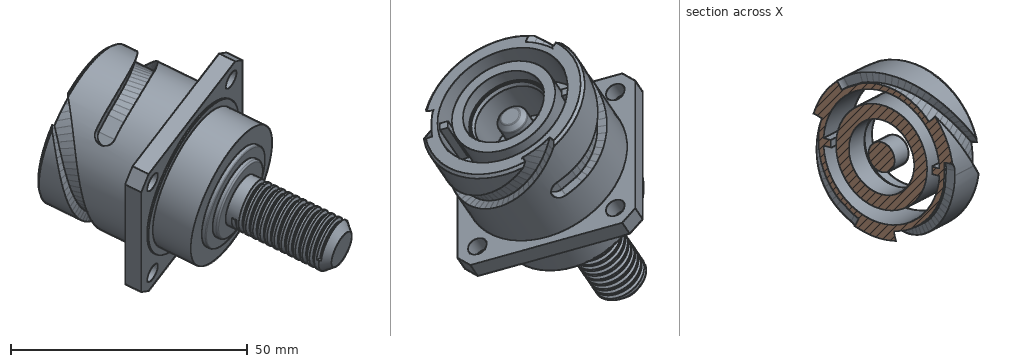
import cadquery as cq
import math


shell_radius = 18.65
shell_edge_chamfer = 0.65
shell_bore_radius = 15.0
shell_bore_depth = 12.0

flange_front = 23.1
flange_thickness = 4.0
flange_size = 41.0
flange_corner_chamfer = 3.0
mount_hole_diameter = 4.3
mount_hole_spacing = 31.8

flange_back = flange_front + flange_thickness
shoulder_radius = 18.2
shoulder_end = flange_back + 0.4
barrel_radius = 16.5
barrel_end = 36.9
large_step_radius = 12.05
large_step_end = 37.9
small_step_radius = 9.3
small_step_end = 39.1
large_step_rounding = 0.2
small_step_rounding = 0.4

overall_length = 64.2
stud_radius = 6.0
stud_tip_radius = 4.15
stud_tip_length = 2.0
thread_pitch = 1.75
thread_turns = 12
thread_start = 41.15
thread_start_angle = 12.0
thread_depth = 0.75
thread_mouth_width = 1.15
thread_root_width = 0.3
thread_overlap = 0.1
stud_seam_turn = 135.0

ring_front = 0.5
ring_radius = 11.9
ring_root = flange_front
cavity_mouth_radius = 9.35
cavity_inner_radius = 8.4
cavity_ledge = 3.85
cavity_ledge_radius = 8.85
cavity_taper_end = 4.7
cavity_corner_relief = 0.15
cavity_depth = 15.0
pin_front = 3.9
pin_radius = 3.45
pin_edge_chamfer = 1.2
pin_edge_rounding = 0.35

key_front = 1.2
key_width = 1.8
key_inner_radius = 13.1

slot_count = 3
slot_width = 4.65
slot_floor_radius = 16.45
slot_x = 11.93
slot_end_angle = -63.4
slot_bend_angle = -49.0
slot_arc_radius = 58.0
slot_exit_x = -4.0
slot_arc_sections = 26
slot_top_radius = shell_radius + 2.0


def revolve_profile(points):
    """Revolve (x, radius) points about the X axis."""
    outline = cq.Workplane("XY").polyline(points).close()
    return outline.revolve(360, (0, 0, 0), (1, 0, 0))


def disc(radius, start, end):
    return cq.Workplane("YZ", origin=(start, 0, 0)).circle(radius).extrude(end - start)


def make_shell():
    shell = disc(shell_radius, 0, flange_front).faces("<X").chamfer(shell_edge_chamfer)
    return shell.cut(disc(shell_bore_radius, 0, shell_bore_depth))


def make_flange():
    flange = (
        cq.Workplane("YZ", origin=(flange_front, 0, 0))
        .rect(flange_size, flange_size)
        .extrude(flange_thickness)
        .edges("|X")
        .chamfer(flange_corner_chamfer)
    )
    holes = (
        cq.Workplane("YZ", origin=(flange_front, 0, 0))
        .rect(mount_hole_spacing, mount_hole_spacing, forConstruction=True)
        .vertices()
        .circle(mount_hole_diameter / 2)
        .extrude(flange_thickness)
    )
    return flange.cut(holes)


def make_rear_body():
    shoulder = disc(shoulder_radius, flange_back, shoulder_end)
    barrel = disc(barrel_radius, flange_back, barrel_end)
    large_step = disc(large_step_radius, barrel_end, large_step_end)
    large_step = large_step.faces(">X").edges().fillet(large_step_rounding)
    small_step = disc(small_step_radius, large_step_end, small_step_end)
    small_step = small_step.faces(">X").edges().fillet(small_step_rounding)
    return shoulder.union(barrel).union(large_step).union(small_step)


def thread_groove():
    """Trapezoidal helical groove, overlapping the stud surface slightly."""
    height = thread_pitch * thread_turns
    root_radius = stud_radius - thread_depth
    mouth_half = thread_mouth_width / 2
    root_half = thread_root_width / 2
    flank = (mouth_half - root_half) / thread_depth
    outer_half = mouth_half + flank * thread_overlap
    helix = cq.Wire.makeHelix(thread_pitch, height, root_radius)
    section = cq.Workplane("XZ").polyline(
        [
            (root_radius, -root_half),
            (stud_radius + thread_overlap, -outer_half),
            (stud_radius + thread_overlap, outer_half),
            (root_radius, root_half),
        ]
    ).close()
    groove = section.sweep(cq.Workplane(helix), isFrenet=True)
    groove = groove.rotate((0, 0, 0), (0, 1, 0), 90)
    groove = groove.rotate((0, 0, 0), (1, 0, 0), -90 - thread_start_angle)
    return groove.translate((thread_start, 0, 0))


def make_stud():
    tip_start = overall_length - stud_tip_length
    stud = revolve_profile(
        [
            (small_step_end, 0),
            (small_step_end, stud_radius),
            (tip_start, stud_radius),
            (overall_length, stud_tip_radius),
            (overall_length, 0),
        ]
    )
    stud = stud.rotate((0, 0, 0), (1, 0, 0), stud_seam_turn)
    return stud.cut(thread_groove())


def make_cavity():
    """Stepped hollow of the contact ring: mouth, narrow ledge, taper and inner bore."""
    return revolve_profile(
        [
            (ring_front, 0),
            (ring_front, cavity_mouth_radius),
            (cavity_ledge - cavity_corner_relief, cavity_mouth_radius),
            (cavity_ledge, cavity_mouth_radius - cavity_corner_relief),
            (cavity_ledge, cavity_ledge_radius),
            (cavity_taper_end, cavity_inner_radius),
            (cavity_depth, cavity_inner_radius),
            (cavity_depth, 0),
        ]
    )


def make_pin():
    pin = disc(pin_radius, pin_front, cavity_depth)
    pin = pin.faces("<X").chamfer(pin_edge_chamfer)
    pin_tip = cq.selectors.BoxSelector(
        (pin_front - pin_edge_rounding, -pin_radius, -pin_radius),
        (pin_front + pin_edge_chamfer + pin_edge_rounding, pin_radius, pin_radius),
    )
    return pin.edges("%CIRCLE").edges(pin_tip).fillet(pin_edge_rounding)


def make_key(side):
    """Guide key on the bore wall, on the +Y (side = 1) or -Y (side = -1) side."""
    key_length = shell_bore_depth - key_front
    key_height = (shell_bore_radius + shell_radius) / 2 - key_inner_radius
    key = cq.Workplane("XY").box(key_length, key_height, key_width)
    return key.translate((key_front + key_length / 2, side * (key_inner_radius + key_height / 2), 0))


def slot_outward(angle):
    """Radial direction at an angle measured from -Y towards +Z."""
    phi = math.radians(angle)
    return cq.Vector(0, -math.cos(phi), math.sin(phi))


def slot_section(angle, x, heading):
    """Rectangular slot section standing square across the path at one point."""
    phi = math.radians(angle)
    outward = slot_outward(angle)
    around = cq.Vector(0, math.sin(phi), math.cos(phi))
    across = cq.Vector(math.cos(heading), 0, 0) + around * math.sin(heading)
    half = across * (slot_width / 2)
    floor = cq.Vector(x, 0, 0) + outward * slot_floor_radius
    top = cq.Vector(x, 0, 0) + outward * slot_top_radius
    return cq.Wire.makePolygon([floor - half, floor + half, top + half, top - half], close=True)


def slot_cutter():
    """Channel ruled between the path sections, with a round closed end."""
    sections = [slot_section(slot_end_angle, slot_x, 0)]
    exit_heading = math.acos(1 - (slot_x - slot_exit_x) / slot_arc_radius)
    for i in range(slot_arc_sections + 1):
        heading = exit_heading * i / slot_arc_sections
        travel = slot_arc_radius * math.sin(heading)
        angle = slot_bend_angle + math.degrees(travel / shell_radius)
        x = slot_x - slot_arc_radius * (1 - math.cos(heading))
        sections.append(slot_section(angle, x, heading))
    channel = cq.Workplane(cq.Solid.makeLoft(sections, True))

    end_outward = slot_outward(slot_end_angle)
    end_floor = cq.Vector(slot_x, 0, 0) + end_outward * slot_floor_radius
    end_depth = slot_top_radius - slot_floor_radius
    end_round = cq.Solid.makeCylinder(slot_width / 2, end_depth, end_floor, end_outward)
    return channel.union(cq.Workplane(end_round))


def make_front_body():
    """Slotted shell with the contact ring, guide keys and pin inside it."""
    body = make_shell()
    body = body.union(disc(ring_radius, ring_front, ring_root))
    body = body.cut(make_cavity()).union(make_pin())
    for side in (-1, 1):
        body = body.union(make_key(side))
    cutter = slot_cutter()
    for i in range(slot_count):
        body = body.cut(cutter.rotate((0, 0, 0), (1, 0, 0), i * 360 / slot_count))
    return body


result = make_front_body().union(make_flange()).union(make_rear_body()).union(make_stud())